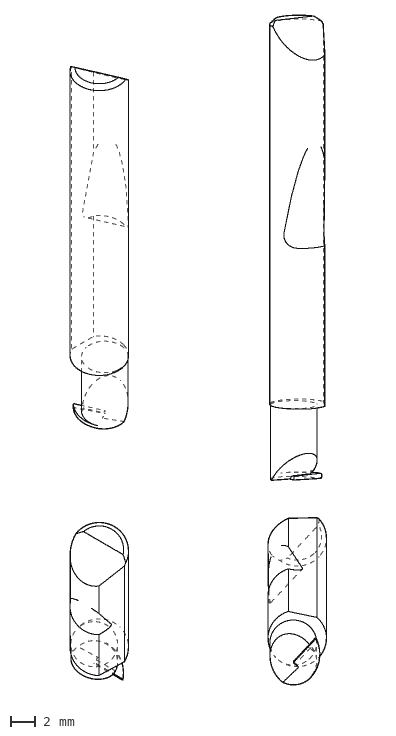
import cadquery as cq
import math

shank_radius = 2.38
shank_length = 31.75
total_length = 38.09
shoulder_z = total_length - shank_length
end_chamfer = 0.4

flat_direction = 150
flat_distance = shank_radius * math.cos(math.radians(180 - flat_direction))

top_bevel_y = -0.63
head_bevel_z = 0.7

notch_bottom_z = 19.6
notch_top_z = 28.35
notch_angle = 10
notch_radius = 1.05

neck_radius = 1.9
neck_x = shank_radius - neck_radius

tip_x = -2.24
tooth_height = 0.43
tooth_corner = 0.14
undercut_height = 0.27
undercut_depth = 0.15
bottom_rise = 0.2

margin = 1.0


def prism_along_x(outline):
    """Extrude a closed (y, z) sketch through the whole width of the bar."""
    return outline.close().extrude(shank_radius + margin, both=True)


def make_shank():
    shank = (
        cq.Workplane("XY")
        .workplane(offset=shoulder_z)
        .circle(shank_radius)
        .extrude(shank_length)
        .faces(">Z")
        .chamfer(end_chamfer)
    )
    flat_cutter = (
        cq.Workplane("XY")
        .box(margin, 2 * shank_radius, total_length, centered=(False, True, False))
        .translate((flat_distance, 0, 0))
        .rotate((0, 0, 0), (0, 0, 1), flat_direction)
    )
    return shank.cut(flat_cutter)


def top_bevel_cutter():
    outer_y = shank_radius + margin
    drop = outer_y - top_bevel_y
    return prism_along_x(
        cq.Workplane("YZ")
        .moveTo(top_bevel_y, total_length)
        .lineTo(outer_y, total_length)
        .lineTo(outer_y, total_length - drop)
    )


def notch_cutter():
    outer_y = shank_radius + margin
    slope = math.tan(math.radians(notch_angle))
    floor_y = shank_radius - (notch_top_z - notch_bottom_z) * slope
    outer_z = notch_top_z + margin / slope
    notch = prism_along_x(
        cq.Workplane("YZ")
        .moveTo(outer_y, notch_bottom_z)
        .lineTo(floor_y, notch_bottom_z)
        .lineTo(outer_y, outer_z)
    )
    return notch.edges("|X").edges("<Y").fillet(notch_radius)


def make_neck():
    neck = cq.Workplane("XY").center(neck_x, 0).circle(neck_radius).extrude(shoulder_z)
    outer_y = neck_radius + margin
    bevel_cutter = prism_along_x(
        cq.Workplane("YZ")
        .moveTo(-head_bevel_z, 0)
        .lineTo(outer_y, 0)
        .lineTo(outer_y, outer_y + head_bevel_z)
    )
    return neck.cut(bevel_cutter)


def neck_undercut_cutter():
    """Sloped clearance on the -X side of the neck, just above the tooth."""
    neck_side_x = neck_x - neck_radius
    return (
        cq.Workplane("XZ")
        .moveTo(neck_side_x, tooth_height + undercut_height)
        .lineTo(neck_side_x + undercut_depth, tooth_height)
        .lineTo(neck_side_x, tooth_height)
        .close()
        .extrude(neck_radius)
    )


def make_tooth():
    reach = neck_x - tip_x
    flank_center_y = (reach**2 - neck_radius**2) / (2 * neck_radius)
    flank_radius = neck_radius + flank_center_y
    flank_disc = (
        cq.Workplane("XY")
        .center(neck_x, flank_center_y)
        .circle(flank_radius)
        .extrude(tooth_height)
    )
    profile = (
        cq.Workplane("XZ")
        .moveTo(tip_x, 0)
        .lineTo(neck_x, 0)
        .lineTo(neck_x, tooth_height)
        .lineTo(tip_x, tooth_height)
        .close()
        .extrude(2 * neck_radius)
        .edges("|Y and <X")
        .fillet(tooth_corner)
    )
    return flank_disc.intersect(profile)


def bottom_relief_cutter():
    """Wedge under the head, rising from the tip towards +X."""
    return (
        cq.Workplane("XZ")
        .moveTo(tip_x + tooth_corner, 0)
        .lineTo(shank_radius, 0)
        .lineTo(shank_radius, bottom_rise)
        .close()
        .extrude(shank_radius, both=True)
    )


shank = make_shank().cut(top_bevel_cutter()).cut(notch_cutter())
head = make_neck().cut(neck_undercut_cutter()).union(make_tooth()).cut(bottom_relief_cutter())
result = shank.union(head)